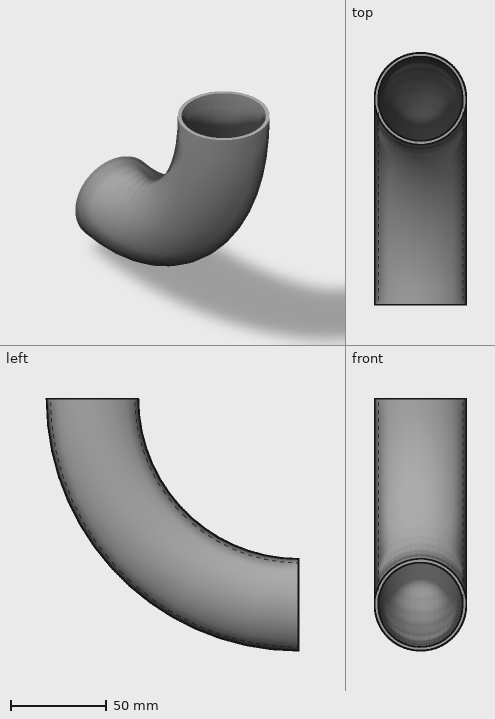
import cadquery as cq

overall_size = 132.2
outer_diameter = 48.2
wall_thickness = 2.0
bend_angle = 90.0

outer_radius = outer_diameter / 2
inner_radius = outer_radius - wall_thickness
bend_radius = overall_size - outer_radius

result = (
    cq.Workplane("XY")
    .center(0, bend_radius)
    .circle(outer_radius)
    .circle(inner_radius)
    .revolve(bend_angle, (0, -bend_radius, 0), (-1, -bend_radius, 0))
)